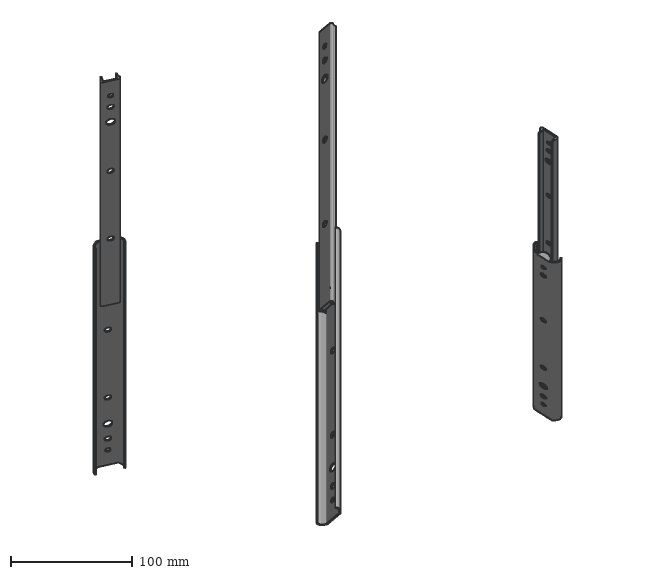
import cadquery as cq
import math


TOTAL_LENGTH = 521.5
HALF_DEPTH = 4.75
HALF_WIDTH = 13.5
SHEET = 1.2
OUTER_LENGTH = 300.0
INNER_LENGTH = 298.0

BOTTOM = -TOTAL_LENGTH / 2
TOP = TOTAL_LENGTH / 2
OUTER_TOP = BOTTOM + OUTER_LENGTH
INNER_BOTTOM = TOP - INNER_LENGTH

OUTER_WEB_FACE_X = -HALF_DEPTH + SHEET
OUTER_WEB_HALF_WIDTH = 8.5
BEND_RADIUS = 2.85
CURL_RADIUS = 4.5
WEB_ANGLE = 180.0
SLOPE_ANGLE = 135.0
LIP_ANGLE = 60.0

INNER_WEB_FACE_X = HALF_DEPTH - SHEET
FLANGE_TIP_X = -1.6
FLANGE_INSIDE_Y = 6.0
FLANGE_OUTSIDE_Y = FLANGE_INSIDE_Y + SHEET
GROOVE_START_X = -0.25
SHOULDER_Y = 8.6
SHOULDER_ROUND = 1.5

STOP_REACH_X = 1.0
OUTER_STOP_HALF_WIDTH = 6.0
OUTER_STOP_DROP = 2.0
INNER_STOP_HALF_WIDTH = 5.5

END_HOLE_DIAMETER = 4.5
SCREW_HOLE_DIAMETER = 5.5
ACCESS_HOLE_DIAMETER = 8.0
END_HOLE = 20.0
SECOND_HOLE = 35.0
ACCESS_HOLE = 55.0
OUTER_END_HOLES = [END_HOLE, OUTER_LENGTH - END_HOLE]
OUTER_SCREW_HOLES = [SECOND_HOLE, 89.5, 180.0, OUTER_LENGTH - SECOND_HOLE]
INNER_END_HOLES = [END_HOLE]
INNER_SCREW_HOLES = [SECOND_HOLE, 120.0, 210.0]


def polar(center, radius, degrees):
    """Point on a circle, with the angle measured from +X towards +Y."""
    angle = math.radians(degrees)
    return (center[0] + radius * math.cos(angle), center[1] + radius * math.sin(angle))


def both_halves(half):
    """Join a +Y half to its mirror image."""
    return half.union(half.mirror("XZ"))


def web_holes(diameter, heights):
    """Cylinders along X, long enough to pass through either web."""
    return (
        cq.Workplane("YZ", origin=(-2 * HALF_DEPTH, 0, 0))
        .pushPoints([(0, z) for z in heights])
        .circle(diameter / 2)
        .extrude(4 * HALF_DEPTH)
    )


def outer_channel():
    """Outer rail without its stop and holes."""
    bend_center = (-HALF_DEPTH + BEND_RADIUS, OUTER_WEB_HALF_WIDTH)
    curl_y = HALF_WIDTH - CURL_RADIUS
    slope = math.radians(SLOPE_ANGLE)
    center_rise = curl_y - bend_center[1]
    center_run = (BEND_RADIUS - CURL_RADIUS - center_rise * math.sin(slope)) / math.cos(slope)
    curl_center = (bend_center[0] + center_run, curl_y)

    def wall_points(inset):
        """Bend start, middle and end, then curl start, middle and lip, of one face of the sheet."""
        bend = BEND_RADIUS - inset
        curl = CURL_RADIUS - inset
        return [
            polar(bend_center, bend, WEB_ANGLE),
            polar(bend_center, bend, (WEB_ANGLE + SLOPE_ANGLE) / 2),
            polar(bend_center, bend, SLOPE_ANGLE),
            polar(curl_center, curl, SLOPE_ANGLE),
            polar(curl_center, curl, (SLOPE_ANGLE + LIP_ANGLE) / 2),
            polar(curl_center, curl, LIP_ANGLE),
        ]

    web, bend_middle, bend_end, curl_start, curl_middle, lip = wall_points(0)
    web_in, bend_middle_in, bend_end_in, curl_start_in, curl_middle_in, lip_in = wall_points(SHEET)
    half = (
        cq.Workplane("XY", origin=(0, 0, BOTTOM))
        .moveTo(-HALF_DEPTH, 0)
        .lineTo(*web)
        .threePointArc(bend_middle, bend_end)
        .lineTo(*curl_start)
        .threePointArc(curl_middle, lip)
        .lineTo(*lip_in)
        .threePointArc(curl_middle_in, curl_start_in)
        .lineTo(*bend_end_in)
        .threePointArc(bend_middle_in, web_in)
        .lineTo(OUTER_WEB_FACE_X, 0)
        .close()
        .extrude(OUTER_LENGTH)
    )
    return both_halves(half)


def outer_stop():
    """Round-nosed tab reaching in from the outer web."""
    return (
        cq.Workplane("XY", origin=(0, 0, OUTER_TOP - OUTER_STOP_DROP - SHEET))
        .moveTo(-HALF_DEPTH, -OUTER_STOP_HALF_WIDTH)
        .lineTo(OUTER_WEB_FACE_X, -OUTER_STOP_HALF_WIDTH)
        .threePointArc((STOP_REACH_X, 0), (OUTER_WEB_FACE_X, OUTER_STOP_HALF_WIDTH))
        .lineTo(-HALF_DEPTH, OUTER_STOP_HALF_WIDTH)
        .close()
        .extrude(SHEET)
    )


def outer_stop_notch():
    """Shallow cut in the web's top end, down to the top of the stop."""
    return cq.Workplane("XY", origin=(-HALF_DEPTH, 0, OUTER_TOP - OUTER_STOP_DROP)).box(
        SHEET,
        2 * OUTER_STOP_HALF_WIDTH,
        OUTER_STOP_DROP,
        centered=(False, True, False),
    )


def make_outer_rail():
    end_holes = web_holes(END_HOLE_DIAMETER, [BOTTOM + d for d in OUTER_END_HOLES])
    screw_holes = web_holes(SCREW_HOLE_DIAMETER, [BOTTOM + d for d in OUTER_SCREW_HOLES])
    access_hole = web_holes(ACCESS_HOLE_DIAMETER, [BOTTOM + ACCESS_HOLE])
    rail = outer_channel().cut(outer_stop_notch()).union(outer_stop())
    return rail.cut(end_holes).cut(screw_holes).cut(access_hole)


def inner_channel():
    """Inner rail without its stop and holes."""
    shoulder_center = (HALF_DEPTH - SHOULDER_ROUND, SHOULDER_Y - SHOULDER_ROUND)
    run = shoulder_center[0] - GROOVE_START_X
    rise = shoulder_center[1] - FLANGE_OUTSIDE_Y
    groove_radius = (run**2 + rise**2 - SHOULDER_ROUND**2) / (2 * (SHOULDER_ROUND + rise))
    join_angle = math.degrees(math.atan2(groove_radius - rise, -run))
    half = (
        cq.Workplane("XY", origin=(0, 0, INNER_BOTTOM))
        .moveTo(INNER_WEB_FACE_X, 0)
        .lineTo(INNER_WEB_FACE_X, FLANGE_INSIDE_Y)
        .lineTo(FLANGE_TIP_X, FLANGE_INSIDE_Y)
        .lineTo(FLANGE_TIP_X, FLANGE_OUTSIDE_Y)
        .lineTo(GROOVE_START_X, FLANGE_OUTSIDE_Y)
        .tangentArcPoint(polar(shoulder_center, SHOULDER_ROUND, join_angle), relative=False)
        .threePointArc(
            polar(shoulder_center, SHOULDER_ROUND, join_angle / 2),
            polar(shoulder_center, SHOULDER_ROUND, 0),
        )
        .lineTo(HALF_DEPTH, 0)
        .close()
        .extrude(INNER_LENGTH)
    )
    return both_halves(half)


def inner_stop():
    """Square tab reaching in from the inner web, flush with the rail's bottom end."""
    return cq.Workplane("XY", origin=(STOP_REACH_X, 0, INNER_BOTTOM)).box(
        HALF_DEPTH - STOP_REACH_X,
        2 * INNER_STOP_HALF_WIDTH,
        SHEET,
        centered=(False, True, False),
    )


def make_inner_rail():
    end_holes = web_holes(END_HOLE_DIAMETER, [TOP - d for d in INNER_END_HOLES])
    screw_holes = web_holes(SCREW_HOLE_DIAMETER, [TOP - d for d in INNER_SCREW_HOLES])
    access_hole = web_holes(ACCESS_HOLE_DIAMETER, [TOP - ACCESS_HOLE])
    rail = inner_channel().union(inner_stop())
    return rail.cut(end_holes).cut(screw_holes).cut(access_hole)


outer_rail = make_outer_rail()
inner_rail = make_inner_rail()

result = cq.Compound.makeCompound([outer_rail.val(), inner_rail.val()])